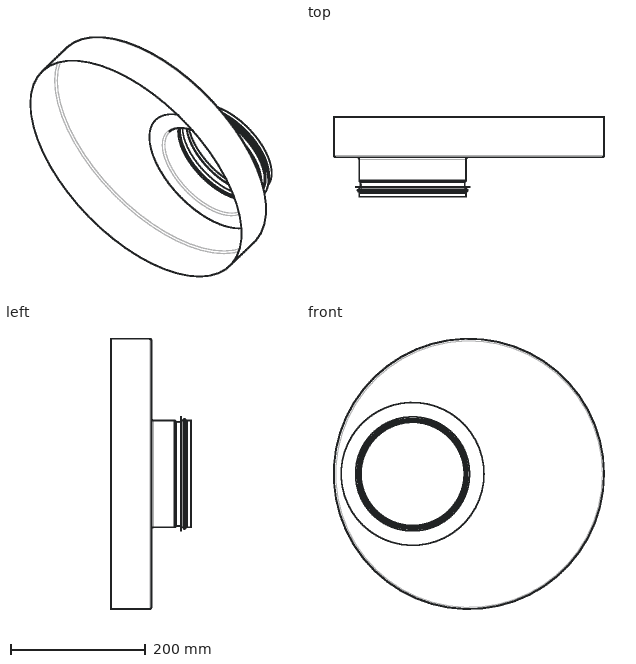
import cadquery as cq
import math

sheet = 0.5

cap_diameter = 401.5
cap_depth = 60.2
cap_bend_radius = 3.0

collar_x = -83.5
overall_depth = 119.0
flange_diameter = 212.0
pipe_diameter = 159.0
collar_bend_radius = 2.5

groove_diameter = 154.0
groove_start = 34.5
groove_floor_start = 37.0
groove_floor_end = 51.5
groove_end = 52.5

band_diameter = 155.5
seal_base_start = 43.5
flat_lip_diameter = 169.5
flat_lip_thickness = 1.0
hook_lip_diameter = 164.2
hook_lip_start = 47.0
hook_lip_tip = 48.5
hook_lip_shoulder = 50.5
hook_lip_shoulder_diameter = 161.5

cap_radius = cap_diameter / 2
pipe_radius = pipe_diameter / 2
groove_radius = groove_diameter / 2
band_radius = band_diameter / 2
bore_radius = pipe_radius - sheet
groove_bore_radius = groove_radius - sheet
inner_bend_radius = collar_bend_radius + sheet
collar_mouth_radius = bore_radius + inner_bend_radius
pipe_start = collar_bend_radius
flange_radius = flange_diameter / 2
spigot_length = overall_depth - cap_depth
arc_middle = math.sqrt(0.5)


def revolve_about_y(profile, centre_x):
    """Close a (radius, Y) profile, spin it about Y and move it to centre_x."""
    return profile.close().revolve(360, (0, 0, 0), (0, 1, 0)).translate((centre_x, 0, 0))


def make_cap():
    inner_bend = cap_bend_radius - sheet
    bend_centre_radius = cap_radius - cap_bend_radius
    outer_middle = cap_bend_radius * arc_middle
    inner_middle = inner_bend * arc_middle
    profile = (
        cq.Workplane("XY")
        .moveTo(0, 0)
        .lineTo(bend_centre_radius, 0)
        .threePointArc(
            (bend_centre_radius + outer_middle, cap_bend_radius - outer_middle),
            (cap_radius, cap_bend_radius),
        )
        .lineTo(cap_radius, cap_depth)
        .lineTo(cap_radius - sheet, cap_depth)
        .lineTo(cap_radius - sheet, cap_bend_radius)
        .threePointArc(
            (bend_centre_radius + inner_middle, cap_bend_radius - inner_middle),
            (bend_centre_radius, sheet),
        )
        .lineTo(0, sheet)
    )
    opening = cq.Workplane("XZ").center(collar_x, 0).circle(flange_radius).extrude(-cap_depth)
    return revolve_about_y(profile, 0).cut(opening)


def make_collar():
    bend_centre_radius = pipe_radius + collar_bend_radius
    outer_middle = collar_bend_radius * arc_middle
    inner_middle = inner_bend_radius * arc_middle
    profile = (
        cq.Workplane("XY")
        .moveTo(collar_mouth_radius, sheet)
        .lineTo(flange_radius, sheet)
        .lineTo(flange_radius, 0)
        .lineTo(bend_centre_radius, 0)
        .threePointArc(
            (bend_centre_radius - outer_middle, -pipe_start + outer_middle),
            (pipe_radius, -pipe_start),
        )
        .lineTo(pipe_radius, -groove_start)
        .lineTo(groove_radius, -groove_floor_start)
        .lineTo(groove_radius, -groove_floor_end)
        .lineTo(pipe_radius, -groove_end)
        .lineTo(pipe_radius, -spigot_length)
        .lineTo(bore_radius, -spigot_length)
        .lineTo(bore_radius, -groove_end - sheet)
        .lineTo(groove_bore_radius, -groove_floor_end - sheet)
        .lineTo(groove_bore_radius, -groove_floor_start + sheet)
        .lineTo(bore_radius, -groove_start + sheet)
        .lineTo(bore_radius, -pipe_start)
        .threePointArc(
            (bend_centre_radius - inner_middle, -pipe_start + inner_middle),
            (collar_mouth_radius, sheet),
        )
    )
    return revolve_about_y(profile, collar_x)


def band_start():
    """Distance at which the sloping groove wall reaches the band radius."""
    wall_fraction = (band_radius - groove_radius) / (pipe_radius - groove_radius)
    return groove_floor_start - wall_fraction * (groove_floor_start - groove_start)


def make_seal():
    flat_lip_end = seal_base_start + flat_lip_thickness
    profile = (
        cq.Workplane("XY")
        .moveTo(groove_radius, -groove_floor_start)
        .lineTo(band_radius, -band_start())
        .lineTo(band_radius, -seal_base_start)
        .lineTo(flat_lip_diameter / 2, -seal_base_start)
        .lineTo(flat_lip_diameter / 2, -flat_lip_end)
        .lineTo(pipe_radius, -flat_lip_end)
        .lineTo(pipe_radius, -hook_lip_start)
        .lineTo(hook_lip_diameter / 2, -hook_lip_tip)
        .lineTo(hook_lip_shoulder_diameter / 2, -hook_lip_shoulder)
        .lineTo(pipe_radius, -groove_floor_end)
        .lineTo(groove_radius, -groove_floor_end)
    )
    return revolve_about_y(profile, collar_x)


cap = make_cap()
collar = make_collar()
seal = make_seal()

result = cq.Compound.makeCompound([cap.val(), collar.val(), seal.val()])